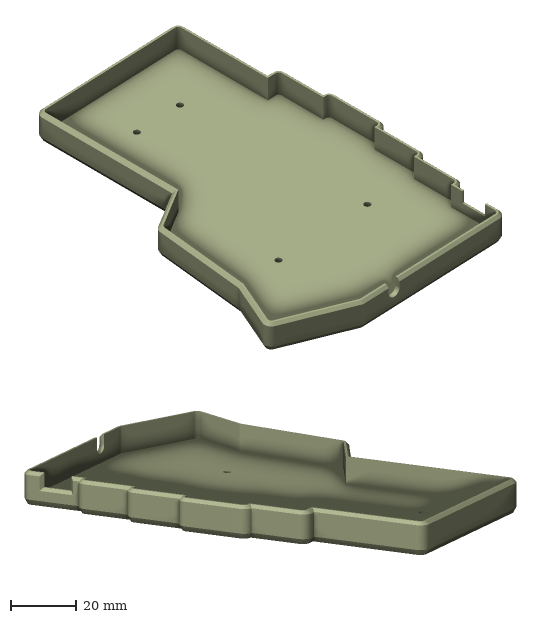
import cadquery as cq

KEY_PITCH = 19.05
FIELD_WIDTH = 7 * KEY_PITCH
FIELD_DEPTH = 3 * KEY_PITCH
STAGGER = 2.375

RIM = 3.0
WALL = 1.7
FLOOR = 2.0
HEIGHT = 10.6
TOP_CHAMFER = 1.0
BOTTOM_CHAMFER_WIDTH = 1.0
BOTTOM_CHAMFER_HEIGHT = 1.8

LAST_STEP_X = 113.35
BACK_STEPS = [
    (2 * KEY_PITCH, 2),
    (3 * KEY_PITCH, 3),
    (4 * KEY_PITCH, 2),
    (5 * KEY_PITCH, 1),
    (LAST_STEP_X, 0),
]

THUMB_CORNERS = [
    (FIELD_WIDTH, -2.2),
    (121.8, -28.345),
    (103.94, -20.5),
    (66.5, -16.68),
    (56.99, 0.0),
]

SCREW_DIAMETER = 2.5
LEFT_SCREW_X = KEY_PITCH
RIGHT_SCREW_X = 5 * KEY_PITCH
SCREW_POSITIONS = [
    (LEFT_SCREW_X, KEY_PITCH),
    (LEFT_SCREW_X, 2 * KEY_PITCH),
    (RIGHT_SCREW_X, 2.45),
    (RIGHT_SCREW_X, 41.66),
]

ROUND_NOTCH_WIDTH = 4.8
ROUND_NOTCH_Y = 10.75
ROUND_NOTCH_BOTTOM = 5.0

SQUARE_NOTCH_LEFT = 119.5
SQUARE_NOTCH_RIGHT = 129.0
SQUARE_NOTCH_BOTTOM = 6.0
FLARE_ANGLE = 45


def field_outline():
    """Key field outline, clockwise from the front-left corner."""
    points = [(0, 0), (0, FIELD_DEPTH)]
    level = FIELD_DEPTH
    for x, stagger_count in BACK_STEPS:
        points.append((x, level))
        level = FIELD_DEPTH + stagger_count * STAGGER
        points.append((x, level))
    points.append((FIELD_WIDTH, FIELD_DEPTH))
    return cq.Workplane("XY").polyline(points + THUMB_CORNERS).close()


def tray():
    """Chamfered outer block, hollowed from above down to the floor."""
    outer = field_outline().offset2D(RIM).extrude(HEIGHT)
    outer = outer.faces("<Z").edges().chamfer(BOTTOM_CHAMFER_HEIGHT, BOTTOM_CHAMFER_WIDTH)
    outer = outer.faces(">Z").edges().chamfer(TOP_CHAMFER)
    cavity = field_outline().offset2D(RIM - WALL).extrude(HEIGHT).translate((0, 0, FLOOR))
    return outer.cut(cavity)


def screw_holes():
    """Cutters for the screw holes."""
    return (
        cq.Workplane("XY")
        .pushPoints(SCREW_POSITIONS)
        .circle(SCREW_DIAMETER / 2)
        .extrude(FLOOR)
    )


def round_notch():
    """Cutter for the round-bottomed notch, open at the top."""
    radius = ROUND_NOTCH_WIDTH / 2
    return (
        cq.Workplane("YZ", origin=(FIELD_WIDTH, ROUND_NOTCH_Y, 0))
        .moveTo(-radius, HEIGHT)
        .lineTo(-radius, ROUND_NOTCH_BOTTOM + radius)
        .threePointArc((0, ROUND_NOTCH_BOTTOM), (radius, ROUND_NOTCH_BOTTOM + radius))
        .lineTo(radius, HEIGHT)
        .close()
        .extrude(RIM)
    )


def square_notch():
    """Cutter for the square notch, flared at the outer face to chamfer its jambs and sill."""
    width = SQUARE_NOTCH_RIGHT - SQUARE_NOTCH_LEFT
    height = 2 * (HEIGHT - SQUARE_NOTCH_BOTTOM)
    outer_y = FIELD_DEPTH + RIM
    center = (SQUARE_NOTCH_LEFT + width / 2, outer_y, SQUARE_NOTCH_BOTTOM + height / 2)
    slot = cq.Workplane("XZ", origin=center).rect(width, height).extrude(RIM)
    flare = (
        cq.Workplane("XZ", origin=center)
        .rect(width + 2 * TOP_CHAMFER, height + 2 * TOP_CHAMFER)
        .extrude(TOP_CHAMFER, taper=FLARE_ANGLE)
    )
    return slot.union(flare)


result = tray().cut(screw_holes()).cut(round_notch()).cut(square_notch())